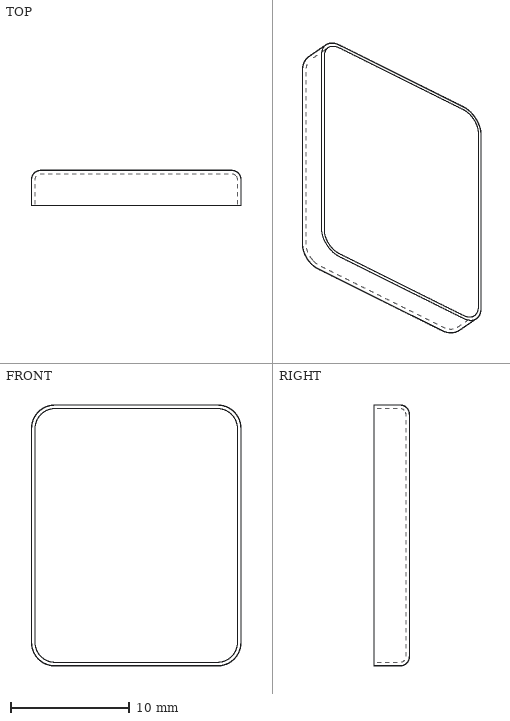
import cadquery as cq

width = 17.7
depth = 3.0
height = 22.05

wall = 0.3
corner_radius = 1.98
edge_radius = 0.8

half_depth = depth / 2


def rounded_block(inset):
    """Block with rounded corners and a rounded +Y rim, inset from the outer skin."""
    return (
        cq.Workplane("XZ", origin=(0, -half_depth, 0))
        .rect(width - 2 * inset, height - 2 * inset)
        .extrude(-(depth - inset))
        .edges("|Y")
        .fillet(corner_radius - inset)
        .faces(">Y")
        .edges()
        .fillet(edge_radius - inset)
    )


result = rounded_block(0).cut(rounded_block(wall))